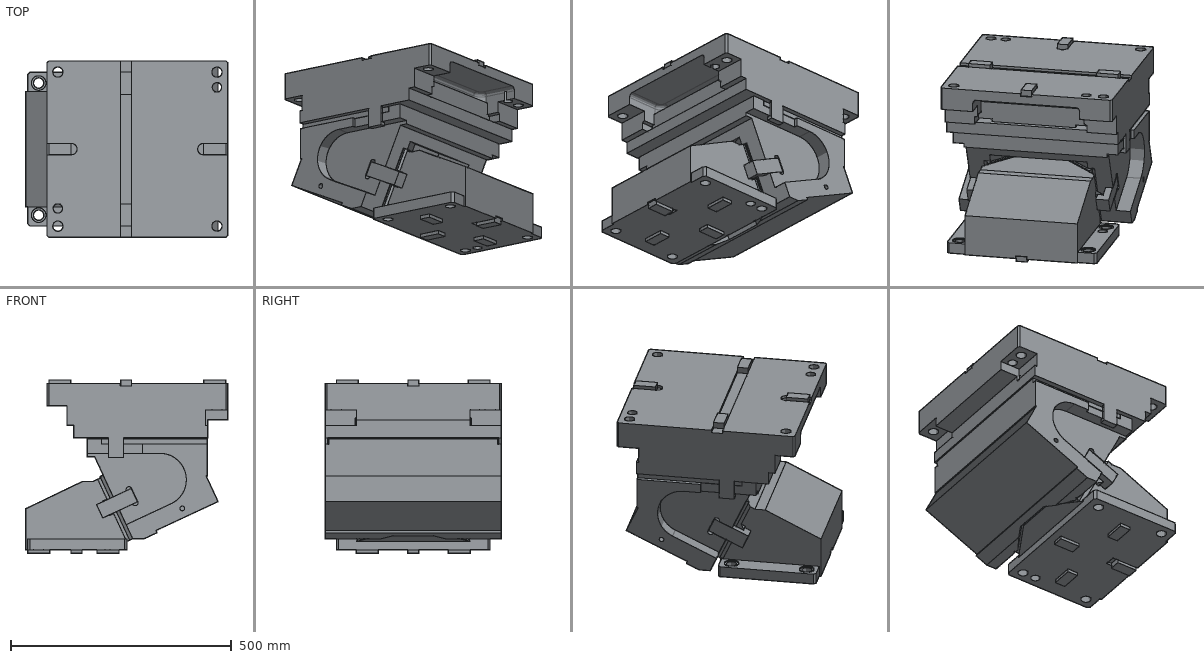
import cadquery as cq
import math


table_half_width = 400.0 / 2
total_height = 393.0
key_height = 8.0
key_length = 50.5
key_width = 25.5
key_sink = 6.0
key_play = 1.0
key_inset = 4.0

ramp_angle = math.radians(25)
ramp_x = 199.5
ramp_z = 125.0
ramp_u = (math.cos(ramp_angle), math.sin(ramp_angle))
ramp_v = (-math.sin(ramp_angle), math.cos(ramp_angle))
side_plane = cq.Plane((ramp_x, 0, ramp_z), (ramp_u[0], 0, ramp_u[1]), (0, -1, 0))
section_plane = cq.Plane((ramp_x, 0, ramp_z), (ramp_u[0], 0, ramp_u[1]), (ramp_v[0], 0, ramp_v[1]))

vee_slope = math.tan(math.radians(60))
vee_start = -15.0
vee_tip = 34.0
vee_bottom = -101.5
base_half_width = 131.0

bar_v = (-30.0, 3.0)
bar_u = (-41.5, 45.0)
bar_y = (149.5, 165.5)
hook_y = 135.5
lug_u = -25.5


def box(x, y, z):
    """Box from three (low, high) ranges."""
    corner = cq.Vector(x[0], y[0], z[0])
    return cq.Workplane(cq.Solid.makeBox(x[1] - x[0], y[1] - y[0], z[1] - z[0], corner))


def mirrored(shape):
    """The shape together with its mirror image across the XZ plane."""
    return shape.add(shape.mirror("XZ").vals()).combine()


def ramp_point(u, v):
    """The (x, z) place of a point given in the ramp frame."""
    return (ramp_x + u * ramp_u[0] + v * ramp_v[0], ramp_z + u * ramp_u[1] + v * ramp_v[1])


def side_prism(points, half_width):
    """An XZ outline extruded evenly to both sides of the XZ plane."""
    return cq.Workplane("XZ").polyline(points).close().extrude(half_width, both=True)


def ramp_prism(points, v):
    """A (u, y) outline extruded along the ramp over the range v."""
    return cq.Workplane(section_plane).workplane(offset=v[0]).polyline(points).close().extrude(v[1] - v[0])


def ramp_box(u, v, y):
    """A block aligned with the ramp, from its u, v and y ranges."""
    return ramp_prism([(u[0], y[0]), (u[1], y[0]), (u[1], y[1]), (u[0], y[1])], v)


def vee_half_width(u):
    """Half width of the base taper at depth u."""
    return base_half_width - (u - vee_start) * vee_slope


base_bottom = key_height
base_length = 230.0
base_nose_height = 101.0
base_crest = (128.5, 163.0)
vee_top = 54.5
pad_top = 32.5
pad_half_width = 174.5
pad_chamfer = 5.5
pad_screw_x = (29.5, 203.0)
pad_screw_y = 149.8
pad_dowel_x = 169.0
screw_diameter = 23.0
dowel_diameter = 21.0
seat_diameter = 33.0
seat_depth = 2.5
base_end_key_x = (key_inset, 161.0)
base_cross_key_x = 102.0
base_cross_key_y = 79.2


def base_keys(body):
    """Two keys along X and two along Y on the underside; the first X key has an open seat."""
    sunk = (0, base_bottom + key_sink)
    seat_length = key_inset + key_length + key_width / 2
    half_key = key_width / 2
    body = body.cut(box((0, seat_length), (-half_key, half_key), (base_bottom, sunk[1])))
    for x in base_end_key_x:
        body = body.union(box((x, x + key_length), (-half_key, half_key), sunk))
    cross_key = box((base_cross_key_x, base_cross_key_x + key_width),
                    (base_cross_key_y, base_cross_key_y + key_length), sunk)
    return body.union(mirrored(cross_key))


def make_base():
    upper_corner = ramp_point(vee_start, vee_top)
    crest_end_x = upper_corner[0] - (upper_corner[1] - base_crest[1]) / math.tan(ramp_angle)
    outline = [
        (0, base_bottom), (0, base_nose_height), base_crest, (crest_end_x, base_crest[1]),
        upper_corner, ramp_point(vee_start, vee_bottom), (base_length, base_bottom),
    ]
    body = side_prism(outline, base_half_width)

    tip_half = vee_half_width(vee_tip)
    nose = [
        (vee_start, -base_half_width), (vee_tip, -tip_half),
        (vee_tip, tip_half), (vee_start, base_half_width),
    ]
    body = body.union(ramp_prism(nose, (vee_bottom, vee_top)))

    lug_overhang = 1.5
    lug = [(lug_u, base_half_width), (vee_start, base_half_width), (lug_u, vee_half_width(lug_u))]
    body = body.union(mirrored(ramp_prism(lug, (bar_v[0] - lug_overhang, bar_v[1] + lug_overhang))))

    pad = box((key_inset, base_length), (-pad_half_width, pad_half_width), (base_bottom, pad_top))
    body = body.union(pad.edges("|Z").chamfer(pad_chamfer))
    screws = [(x, y) for x in pad_screw_x for y in (-pad_screw_y, pad_screw_y)]
    pad_face = cq.Workplane("XY").workplane(offset=pad_top)
    body = body.cut(pad_face.pushPoints(screws).circle(screw_diameter / 2).extrude(-pad_top))
    body = body.cut(pad_face.pushPoints(screws).circle(seat_diameter / 2).extrude(-seat_depth))
    dowels = [(pad_dowel_x, -pad_screw_y)]
    body = body.cut(pad_face.pushPoints(dowels).circle(dowel_diameter / 2).extrude(-pad_top))
    return base_keys(body)


wedge_front_x = 139.2
wedge_back_x = 411.7
wedge_top = 259.5
wedge_lip_bottom = 218.5
wedge_heel_u = 211.0
wedge_sole_v = -107.0
wedge_foot_v = -112.5
wedge_foot_u = (23.5, 56.0)
wedge_shoulder_v = -42.5
core_half_width = 166.5
pocket_top = 226.5
pocket_radius = 60.0
pocket_center_x = 304.0
pocket_reach = 275
flange_half_width = 192.0
flange_end_x = 265.0
relief_half_width = 190.5
relief_start_x = 171.5
relief_bottom = 247.5
oil_hole_place = (355.0, 101.5)
oil_hole_diameter = 10.5
oil_hole_depth = 23.0
guide_half_width = 113.5
guide_floor_u = 39.0
guide_top_v = 77.5
liner_tip_u = -8.0
liner_end_u = 36.5
liner_top_v = 57.5
liner_play = 0.5
liner_root_y = 122.5
liner_groove_y = 129.0
relief_radius = 6.5
slot_play = 1.0


def wedge_block():
    outline = [
        (wedge_front_x, wedge_top), (wedge_front_x, wedge_lip_bottom),
        ramp_point(0, (wedge_lip_bottom - ramp_z) / ramp_v[1]), ramp_point(0, vee_bottom),
        ramp_point(wedge_foot_u[0], wedge_foot_v), ramp_point(wedge_foot_u[1], wedge_foot_v),
        ramp_point(wedge_foot_u[1], wedge_sole_v), ramp_point(wedge_heel_u, wedge_sole_v),
        ramp_point(wedge_heel_u, wedge_shoulder_v),
        (wedge_back_x, ramp_point(wedge_heel_u, wedge_shoulder_v)[1]), (wedge_back_x, wedge_top),
    ]
    return side_prism(outline, table_half_width)


def side_pocket():
    """D-shaped pocket in the +Y side, open towards the ramp."""
    center = (pocket_center_x, pocket_top - pocket_radius)
    low_tangent = (center[0] - pocket_radius * ramp_v[0], center[1] - pocket_radius * ramp_v[1])
    middle_angle = ramp_angle / 2
    arc_middle = (center[0] + pocket_radius * math.cos(middle_angle),
                  center[1] + pocket_radius * math.sin(middle_angle))
    mouth = (low_tangent[0] - pocket_reach * ramp_u[0], low_tangent[1] - pocket_reach * ramp_u[1])
    return (cq.Workplane("XZ", origin=(0, table_half_width, 0))
            .moveTo(mouth[0], pocket_top).lineTo(center[0], pocket_top)
            .threePointArc(arc_middle, low_tangent).lineTo(*mouth).close()
            .extrude(table_half_width - core_half_width))


def wedge_flange_cuts():
    """Steps in the +Y side of the top flange."""
    passage = box((wedge_front_x, flange_end_x), (flange_half_width, table_half_width),
                  (wedge_lip_bottom, wedge_top))
    relief = box((relief_start_x, wedge_back_x), (relief_half_width, table_half_width),
                 (relief_bottom, wedge_top))
    return passage.union(relief)


def guide_cut():
    """Flat-bottomed V groove in the ramp face, closed at its upper end."""
    floor_half = guide_half_width - guide_floor_u * vee_slope
    outline = [
        (0, -guide_half_width), (guide_floor_u, -floor_half),
        (guide_floor_u, floor_half), (0, guide_half_width),
    ]
    return ramp_prism(outline, (wedge_foot_v, guide_top_v))


def guide_liner():
    """Sliding liner on the +Y wall of the guide, standing proud of the ramp face."""
    outline = [
        (liner_tip_u, vee_half_width(liner_tip_u) + liner_play),
        (liner_end_u, vee_half_width(liner_end_u) + liner_play),
        (liner_end_u, guide_half_width - liner_end_u * vee_slope),
        (0, guide_half_width), (0, liner_root_y),
    ]
    return ramp_prism(outline, (vee_bottom, liner_top_v))


def liner_groove():
    """Shallow relief beside the outer edge of the +Y liner."""
    depth = (liner_groove_y - liner_root_y) / vee_slope
    outline = [(0, liner_groove_y), (depth, liner_root_y), (0, liner_root_y)]
    return ramp_prism(outline, (wedge_foot_v, liner_top_v))


def bar_slot():
    """Slot for a clamp bar in the +Y side of the core, with rounded corner reliefs."""
    slot_end = bar_u[1] + slot_play
    slot = ramp_box((0, slot_end), bar_v, (bar_y[0], core_half_width))
    corners = [(slot_end - relief_radius, v) for v in bar_v]
    reliefs = (cq.Workplane(side_plane).workplane(offset=-core_half_width)
               .pushPoints(corners).circle(relief_radius).extrude(core_half_width - bar_y[0]))
    return slot.union(reliefs)


def clamp_bar():
    bar = ramp_box(bar_u, bar_v, bar_y)
    hook = ramp_box((bar_u[0], lug_u), bar_v, (hook_y, bar_y[0]))
    return bar.union(hook)


def make_wedge():
    oil_hole = (cq.Workplane("XZ", origin=(0, table_half_width, 0))
                .pushPoints([oil_hole_place]).circle(oil_hole_diameter / 2).extrude(oil_hole_depth))
    body = wedge_block().cut(guide_cut())
    for cutter in (side_pocket(), wedge_flange_cuts(), oil_hole, liner_groove(), bar_slot()):
        body = body.cut(mirrored(cutter))
    return body.union(mirrored(guide_liner())).union(mirrored(clamp_bar()))


plate_x = (48.0, 458)
plate_top = total_height - key_height
plate_bottom_front = 334.5
plate_bottom_back = 325.0
plate_chamfer = 4.0
leg_x = (93.5, 407.5)
carrier_x = (108.5, 413.0)
carrier_top = 290.0
carrier_bottom = 261.5
rear_overhang_bottom = 302.5
rail_front_x = 121.5
rail_top = 335.5
rail_half_width = 122.7
rail_foot_half_width = 129.0
rail_neck_half_width = 97.0
rail_shoulder = (306.5, 309.5)
rail_foot_bottom = 296.5
rail_gap = 2.0
recess_top = 362.0
recess_end_x = 146.5
recess_corner = 20.5
recess_fillet = 9.0
hook_tab_x = (187.5, 222.0)
hook_tab_y = 193.7
hook_tab_lip_y = 186.5
hook_tab_z = (217.0, 226.0)
plate_screw_x = (73.0, 433.3)
plate_screw_y = 174.5
plate_dowels = [(plate_screw_x[0], -134.5), (plate_screw_x[1], 140.0)]
cross_channel_x = 214.5
cross_key_y = 124.0


def table_block():
    """Plate, legs and carrier in one stepped outline."""
    outline = [
        (plate_x[0], plate_top), (plate_x[0], plate_bottom_front),
        (leg_x[0], plate_bottom_front), (leg_x[0], carrier_top),
        (carrier_x[0], carrier_top), (carrier_x[0], carrier_bottom),
        (carrier_x[1], carrier_bottom), (carrier_x[1], carrier_top),
        (leg_x[1], carrier_top), (leg_x[1], plate_bottom_back),
        (plate_x[1], plate_bottom_back), (plate_x[1], plate_top),
    ]
    block = side_prism(outline, table_half_width)
    return block.edges("|Z and (<X or >X)").chamfer(plate_chamfer)


def rail_section(gap):
    """Upper half outline (y, z) of the T rail, grown sideways by a gap."""
    body_y = rail_half_width + gap
    foot_y = rail_foot_half_width + gap
    return [(foot_y, rail_shoulder[0]), (body_y, rail_shoulder[1]), (body_y, rail_top), (0, rail_top)]


def rail_channel():
    """Space around and inside the rail, running through the legs."""
    foot_y = rail_foot_half_width + rail_gap
    half = [(0, carrier_top), (foot_y, carrier_top)] + rail_section(rail_gap)
    channel = cq.Workplane("YZ", origin=(leg_x[0], 0, 0)).polyline(half).close().extrude(leg_x[1] - leg_x[0])
    return mirrored(channel)


def rail():
    """T rail on the carrier, inside the channel."""
    half = [(0, carrier_top), (rail_neck_half_width, carrier_top), (rail_neck_half_width, rail_foot_bottom),
            (rail_foot_half_width, rail_foot_bottom)] + rail_section(0)
    section = cq.Workplane("YZ", origin=(rail_front_x, 0, 0)).polyline(half).close()
    return mirrored(section.extrude(leg_x[1] - rail_front_x))


def rear_block():
    """Stepped block that closes the back of the channel."""
    outline = [
        (leg_x[1], carrier_top), (carrier_x[1], carrier_top), (carrier_x[1], rear_overhang_bottom),
        (plate_x[1], rear_overhang_bottom), (plate_x[1], plate_bottom_back), (leg_x[1], plate_bottom_back),
    ]
    return side_prism(outline, rail_foot_half_width)


def front_recess():
    """Rounded recess above the rail, open at the front of the plate."""
    half = rail_half_width + rail_gap
    recess = box((0, recess_end_x), (-half, half), (rail_top, recess_top))
    low = box((0, leg_x[0]), (-half, half), (plate_bottom_front, rail_top))
    return recess.edges("|Z and >X").fillet(recess_corner).edges(">Z").fillet(recess_fillet).union(low)


def hook_tab():
    """L-shaped tab on the +Y side that reaches under the flange of the wedge."""
    arm = box(hook_tab_x, (hook_tab_y, table_half_width), (hook_tab_z[0], carrier_bottom))
    lip = box(hook_tab_x, (hook_tab_lip_y, table_half_width), hook_tab_z)
    return arm.union(lip)


def table_holes(body):
    screws = [(x, y) for x in plate_screw_x for y in (-plate_screw_y, plate_screw_y)]
    top_face = cq.Workplane("XY").workplane(offset=plate_top)
    depth = plate_top - plate_bottom_back
    body = body.cut(top_face.pushPoints(screws).circle(screw_diameter / 2).extrude(-depth))
    return body.cut(top_face.pushPoints(plate_dowels).circle(dowel_diameter / 2).extrude(-depth))


def table_keys(body):
    """Seats and keys on the top face: two along X at the ends, two along Y in a cross channel."""
    half_key = key_width / 2
    seat_z = (plate_top - key_sink, plate_top)
    key_z = (seat_z[0], total_height)
    channel_x = (cross_channel_x, cross_channel_x + key_width)
    body = body.cut(box(channel_x, (-table_half_width, table_half_width), seat_z))
    cross_key = box((channel_x[0] + key_play, channel_x[1]), (cross_key_y, cross_key_y + key_length), key_z)
    body = body.union(mirrored(cross_key))

    end_round = key_inset + key_length + key_play
    for edge_x, inward in ((plate_x[0], 1), (plate_x[1], -1)):
        center_x = edge_x + inward * end_round
        seat = box(sorted((edge_x, center_x)), (-half_key, half_key), seat_z)
        round_end = (cq.Workplane("XY", origin=(center_x, 0, seat_z[0]))
                     .circle(half_key).extrude(key_sink))
        key_ends = sorted((edge_x + inward * key_inset, edge_x + inward * (key_inset + key_length)))
        body = body.cut(seat.union(round_end))
        body = body.union(box(key_ends, (key_play - half_key, half_key), key_z))
    return body


def make_table():
    body = table_block().cut(rail_channel()).cut(front_recess())
    body = body.union(rail()).union(rear_block()).union(mirrored(hook_tab()))
    return table_keys(table_holes(body))


base = make_base()
wedge = make_wedge()
table = make_table()

result = cq.Compound.makeCompound([base.solids().val(), wedge.solids().val(), table.solids().val()])